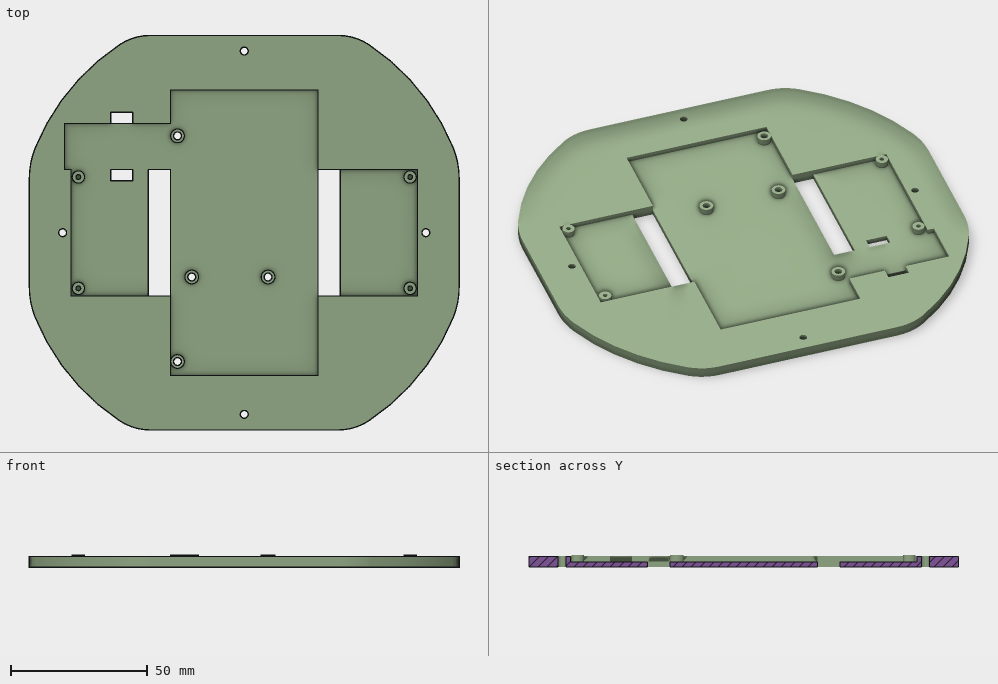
import cadquery as cq
import math

plate_length = 157.24
plate_width = 144.31
plate_thickness = 4.0
corner_radius = 82.5
side_blend_radius = 30.0
end_blend_radius = 20.0

floor_height = 2.0
board_bay_length = 54.1
board_bay_width = 104.5
wing_length = 126.6
wing_width = 46.1
wing_edge = wing_width / 2
arm_left = -65.7
arm_top = 40.0

slot_length = 8.0
window_length = 8.0
window_width = 4.0
window_center_x = -44.8
mount_hole_diameter = 2.8
mount_hole_offset = 66.4

standoff_top = 4.5
board_standoff_diameter = 5.0
board_hole_diameter = 2.8
board_standoffs = [(-24.4, 35.4), (-24.4, -47.1), (-19.2, -16.2), (8.7, -16.2)]
wing_standoff_diameter = 4.5
wing_hole_diameter = 1.75
wing_standoff_x = 60.65
wing_standoff_y = 20.35
wing_standoffs = [(sx * wing_standoff_x, sy * wing_standoff_y) for sx in (-1, 1) for sy in (-1, 1)]


def blend_points(flat_distance, blend_radius):
    """Start, middle and end of a blend arc, as (along the flat, away from the centre)."""
    center_out = flat_distance - blend_radius
    center_reach = corner_radius - blend_radius
    center_along = math.sqrt(center_reach**2 - center_out**2)
    end_angle = math.atan2(center_along, center_out)
    points = []
    for angle in (0, end_angle / 2, end_angle):
        along = center_along + blend_radius * math.sin(angle)
        out = center_out + blend_radius * math.cos(angle)
        points.append((along, out))
    return points


def make_quarter():
    """The +X +Y quarter of the plate."""
    side = [(out, along) for along, out in blend_points(plate_length / 2, side_blend_radius)]
    end = blend_points(plate_width / 2, end_blend_radius)
    start_angle = math.atan2(side[2][1], side[2][0])
    stop_angle = math.atan2(end[2][1], end[2][0])
    middle_angle = (start_angle + stop_angle) / 2
    arc_middle = (corner_radius * math.cos(middle_angle), corner_radius * math.sin(middle_angle))
    return (
        cq.Workplane("XY")
        .lineTo(plate_length / 2, 0)
        .lineTo(*side[0])
        .threePointArc(side[1], side[2])
        .threePointArc(arc_middle, end[2])
        .threePointArc(end[1], end[0])
        .lineTo(0, plate_width / 2)
        .close()
        .extrude(plate_thickness)
    )


def make_plate():
    quarter = make_quarter()
    half = quarter.union(quarter.mirror("YZ"))
    return half.union(half.mirror("XZ")).clean()


def block(x_min, x_max, y_min, y_max, z_min):
    """A cutting block from z_min up to the top of the plate."""
    size = (x_max - x_min, y_max - y_min, plate_thickness - z_min)
    return cq.Workplane("XY").box(*size, centered=False).translate((x_min, y_min, z_min))


def make_recess():
    bay_x = board_bay_length / 2
    bay_y = board_bay_width / 2
    wing_x = wing_length / 2
    board_bay = block(-bay_x, bay_x, -bay_y, bay_y, floor_height)
    wings = block(-wing_x, wing_x, -wing_edge, wing_edge, floor_height)
    arm = block(arm_left, 0, wing_edge, arm_top, floor_height)
    return board_bay.union(wings).union(arm)


def make_slots():
    """One long slot on each side of the board bay."""
    inner = board_bay_length / 2
    slot = block(inner, inner + slot_length, -wing_edge, wing_edge, 0)
    return slot.union(slot.mirror("YZ"))


def make_windows():
    """Two small windows, one on each long side of the arm."""
    x_min = window_center_x - window_length / 2
    x_max = window_center_x + window_length / 2
    upper = block(x_min, x_max, arm_top, arm_top + window_width, 0)
    lower = block(x_min, x_max, wing_edge - window_width, wing_edge, 0)
    return upper.union(lower)


def cylinders(places, diameter, z_min, z_max):
    return (
        cq.Workplane("XY")
        .workplane(offset=z_min)
        .pushPoints(places)
        .circle(diameter / 2)
        .extrude(z_max - z_min)
    )


mount_holes = [
    (mount_hole_offset, 0),
    (-mount_hole_offset, 0),
    (0, mount_hole_offset),
    (0, -mount_hole_offset),
]

result = make_plate().cut(make_recess()).cut(make_slots()).cut(make_windows())
result = result.cut(cylinders(mount_holes, mount_hole_diameter, 0, plate_thickness))

result = result.union(cylinders(board_standoffs, board_standoff_diameter, floor_height, standoff_top))
result = result.union(cylinders(wing_standoffs, wing_standoff_diameter, floor_height, standoff_top))
result = result.cut(cylinders(board_standoffs, board_hole_diameter, 0, standoff_top))
result = result.cut(cylinders(wing_standoffs, wing_hole_diameter, floor_height, standoff_top))